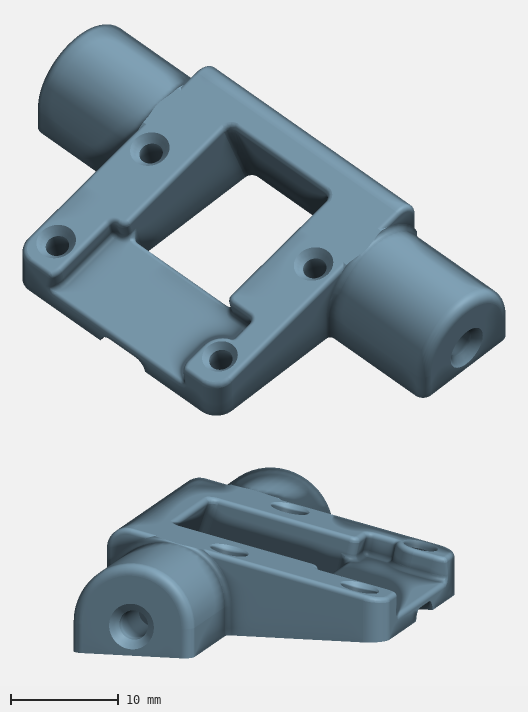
import cadquery as cq
import math

LENGTH = 50.0
DEPTH = 26.75
HEIGHT = 9.55

BODY_WIDTH = 26.1
SLOPE = math.radians(12.8)
BACK_RADIUS = 2.0
FRONT_CORNER_RADIUS = 2.0
EDGE_RADIUS = 0.5

BARREL_RADIUS = 5.8
BARREL_AXIS_Z = 2.75
BARREL_END_RADIUS = 1.0
FOOT_RADIUS = 0.5
BORE_DIAMETER = 2.75
BORE_MOUTH_DIAMETER = 4.3
BORE_DEPTH = 7.5

WINDOW_WIDTH = 13.0
WINDOW_BACK = -4.9
WINDOW_FRONT = -18.8
WINDOW_BACK_UNDERCUT = math.radians(6)
WINDOW_CORNER_RADIUS = 0.8
POCKET_BACK = -19.35
POCKET_LEFT = -8.0
POCKET_RIGHT = 10.05
POCKET_DEPTH = 2.2
POCKET_CORNER_RADIUS = 0.55
POCKET_FLOOR_RADIUS = 0.5
MOUTH_FLARE_RADIUS = 2.0
MOUTH_FLARE_START = -26.3
MOUTH_FLARE_LENGTH = 1.8

SCREW_U = 10.5
SCREW_BACK = -11.45
SCREW_FRONT = -24.3
SCREW_DIAMETER = 2.2
SCREW_HEAD_DIAMETER = 3.7
BOSS_HEAD_DIAMETER = 3.35
BOSS_RADIUS = 2.25
BOSS_CORNER_RADIUS = 0.25

CHANNEL_X = 0.95
CHANNEL_WIDTH = 5.8
CHANNEL_HEIGHT = 1.05
CHANNEL_CORNER_RADIUS = 1.3
CHANNEL_TILT = 1.8

MARGIN = 2.5
TOLERANCE = 0.005

back_arc_z = HEIGHT - BACK_RADIUS
tangent_y = -BACK_RADIUS * (1 + math.sin(SLOPE))
tangent_z = back_arc_z + BACK_RADIUS * math.cos(SLOPE)
slope_z_at_back = tangent_z - tangent_y * math.tan(SLOPE)
slope_z_at_front = slope_z_at_back - DEPTH * math.tan(SLOPE)
slope_plane = cq.Plane(
    origin=(0, 0, slope_z_at_back),
    xDir=(1, 0, 0),
    normal=(0, -math.sin(SLOPE), math.cos(SLOPE)),
)

half_body = BODY_WIDTH / 2
half_window = WINDOW_WIDTH / 2
boss_left = SCREW_U - BOSS_RADIUS
boss_top = SCREW_FRONT + math.sqrt(BOSS_RADIUS**2 - (SCREW_U - POCKET_RIGHT) ** 2)


def wedge(x_start, x_end):
    """Side profile of the body, extruded from x_start to x_end."""
    middle_angle = (math.pi / 2 + SLOPE) / 2
    arc_middle = (
        BACK_RADIUS * (math.cos(middle_angle) - 1),
        back_arc_z + BACK_RADIUS * math.sin(middle_angle),
    )
    return (
        cq.Workplane("YZ", origin=(x_start, 0, 0))
        .lineTo(0, back_arc_z)
        .threePointArc(arc_middle, (tangent_y, tangent_z))
        .lineTo(-DEPTH, slope_z_at_front)
        .lineTo(-DEPTH, 0)
        .close()
        .extrude(x_end - x_start)
    )


def fillet_where(solid, radius, wanted):
    """Round the edges whose centre, in body and in sloped-face coordinates, passes the test."""
    chosen = []
    for edge in solid.edges().vals():
        centre = edge.Center()
        if wanted(centre, slope_plane.toLocalCoords(centre)):
            chosen.append(edge)
    return solid.newObject(chosen).fillet(radius)


def fillet_pocket_corners(tool, radius, corners):
    """Round the pocket's wall corners that stand at the given (u, v) points."""

    def at_corner(centre, local):
        return any(math.dist((local.x, local.y), corner) < TOLERANCE for corner in corners)

    return fillet_where(tool, radius, at_corner)


def window():
    """Rounded opening through the body, square to the sloped face but for an undercut back wall."""

    def section(height):
        back = WINDOW_BACK - height * math.tan(WINDOW_BACK_UNDERCUT)
        return (
            cq.Sketch()
            .rect(WINDOW_WIDTH, back - WINDOW_FRONT)
            .vertices()
            .fillet(WINDOW_CORNER_RADIUS)
            .moved(cq.Location(cq.Vector(0, (back + WINDOW_FRONT) / 2, height)))
        )

    return cq.Workplane(slope_plane).placeSketch(section(MARGIN), section(-2 * HEIGHT)).loft()


def flare_point(along):
    """Sideways offset and v of the pocket mouth's flare, at a distance along the wall."""
    sideways = MOUTH_FLARE_RADIUS - math.sqrt(MOUTH_FLARE_RADIUS**2 - along**2)
    return sideways, MOUTH_FLARE_START - along


def pocket():
    """Recess open to the front face and to the window, stepped around the front right boss."""
    front = -DEPTH / math.cos(SLOPE) - MARGIN
    back = WINDOW_FRONT + MARGIN
    boss_middle_angle = math.radians(140)
    boss_middle = (
        SCREW_U + BOSS_RADIUS * math.cos(boss_middle_angle),
        SCREW_FRONT + BOSS_RADIUS * math.sin(boss_middle_angle),
    )
    flare_middle = flare_point(MOUTH_FLARE_LENGTH / 2)
    flare_end = flare_point(MOUTH_FLARE_LENGTH)
    tool = (
        cq.Workplane(slope_plane)
        .moveTo(POCKET_LEFT - flare_end[0], front)
        .lineTo(POCKET_LEFT - flare_end[0], flare_end[1])
        .threePointArc(
            (POCKET_LEFT - flare_middle[0], flare_middle[1]), (POCKET_LEFT, MOUTH_FLARE_START)
        )
        .lineTo(POCKET_LEFT, POCKET_BACK)
        .lineTo(-half_window, POCKET_BACK)
        .lineTo(-half_window, back)
        .lineTo(half_window, back)
        .lineTo(half_window, POCKET_BACK)
        .lineTo(POCKET_RIGHT, POCKET_BACK)
        .lineTo(POCKET_RIGHT, boss_top)
        .threePointArc(boss_middle, (boss_left, SCREW_FRONT))
        .lineTo(boss_left, MOUTH_FLARE_START)
        .threePointArc(
            (boss_left + flare_middle[0], flare_middle[1]),
            (boss_left + flare_end[0], flare_end[1]),
        )
        .lineTo(boss_left + flare_end[0], front)
        .close()
        .extrude(-POCKET_DEPTH)
    )
    window_corners = [(-half_window, POCKET_BACK), (half_window, POCKET_BACK)]
    back_corners = [(POCKET_LEFT, POCKET_BACK), (POCKET_RIGHT, POCKET_BACK)]
    tool = fillet_pocket_corners(tool, WINDOW_CORNER_RADIUS, window_corners)
    tool = fillet_pocket_corners(tool, POCKET_CORNER_RADIUS, back_corners)
    tool = fillet_pocket_corners(tool, BOSS_CORNER_RADIUS, [(POCKET_RIGHT, boss_top)])
    floor = cq.selectors.DirectionMinMaxSelector(slope_plane.zDir, False)
    return tool.faces(floor).edges().fillet(POCKET_FLOOR_RADIUS)


def is_upper_edge(centre, local):
    """Edges around the sloped face, down the back and along the pocket floor's two open ends."""
    on_slope = abs(local.z) < TOLERANCE and local.y < tangent_y - EDGE_RADIUS
    above_base = centre.z > EDGE_RADIUS
    on_side = abs(abs(centre.x) - half_body) < TOLERANCE
    along_back = on_side and centre.y > tangent_y and above_base
    on_front = abs(centre.y + DEPTH) < TOLERANCE
    at_mouth = on_front and abs(centre.x) < POCKET_RIGHT and above_base
    at_window = (
        abs(local.z + POCKET_DEPTH) < TOLERANCE
        and abs(centre.x) < half_window
        and abs(local.y - WINDOW_FRONT) < WINDOW_CORNER_RADIUS
    )
    return on_slope or along_back or at_mouth or at_window


def body():
    block = wedge(-half_body, half_body).edges("|Z and <Y").fillet(FRONT_CORNER_RADIUS)
    block = block.cut(window()).cut(pocket())
    return fillet_where(block, EDGE_RADIUS, is_upper_edge)


def barrel_profile(x, radius):
    """Arch of the given radius standing on z = 0."""
    return (
        cq.Workplane("YZ", origin=(x, -BARREL_RADIUS, 0))
        .moveTo(-radius, 0)
        .lineTo(-radius, BARREL_AXIS_Z)
        .threePointArc((0, BARREL_AXIS_Z + radius), (radius, BARREL_AXIS_Z))
        .lineTo(radius, 0)
        .close()
    )


def bore():
    """Blind hole with a conical mouth in the end of the +X barrel."""
    mouth_radius = BORE_MOUTH_DIAMETER / 2
    bore_radius = BORE_DIAMETER / 2
    return (
        cq.Workplane("XY")
        .moveTo(LENGTH / 2, 0)
        .lineTo(LENGTH / 2, mouth_radius)
        .lineTo(LENGTH / 2 - (mouth_radius - bore_radius), bore_radius)
        .lineTo(LENGTH / 2 - BORE_DEPTH, bore_radius)
        .lineTo(LENGTH / 2 - BORE_DEPTH, 0)
        .close()
        .revolve(360, (0, 0, 0), (1, 0, 0))
        .translate((0, -BARREL_RADIUS, BARREL_AXIS_Z))
    )


def barrel():
    """Barrel on the +X side with its rounded end and a foot that flares out to the body."""
    root = half_body - EDGE_RADIUS
    flare_radius = BARREL_RADIUS + FOOT_RADIUS
    plate = barrel_profile(root, flare_radius + MARGIN).extrude(half_body - root)
    shaft = plate.union(barrel_profile(root, BARREL_RADIUS).extrude(LENGTH / 2 - root))
    shaft = shaft.faces(">X").edges("not <Z").fillet(BARREL_END_RADIUS)

    around_shaft = cq.selectors.BoxSelector(
        (half_body - TOLERANCE, -2 * BARREL_RADIUS - TOLERANCE, -TOLERANCE),
        (half_body + TOLERANCE, TOLERANCE, HEIGHT),
        boundingbox=True,
    )
    shaft = shaft.edges(around_shaft).fillet(FOOT_RADIUS)

    flare_limit = barrel_profile(root, flare_radius).extrude(LENGTH)
    return shaft.intersect(flare_limit).intersect(wedge(root, LENGTH)).cut(bore())


def screw_holes():
    """Four countersunk holes square to the sloped face."""
    holes = cq.Workplane(slope_plane)
    for u in (-SCREW_U, SCREW_U):
        for v in (SCREW_BACK, SCREW_FRONT):
            on_boss = u > 0 and v == SCREW_FRONT
            head_diameter = BOSS_HEAD_DIAMETER if on_boss else SCREW_HEAD_DIAMETER
            head_depth = (head_diameter - SCREW_DIAMETER) / 2
            centre = cq.Workplane(slope_plane).center(u, v)
            holes = holes.add(centre.circle(SCREW_DIAMETER / 2).extrude(-2 * HEIGHT))
            holes = holes.add(centre.circle(head_diameter / 2).extrude(-head_depth, taper=45))
    return holes.combine()


def channel():
    """Round-cornered slot running from the front face to the window."""
    window_bottom = WINDOW_FRONT * math.cos(SLOPE) + slope_z_at_back * math.sin(SLOPE)
    length = DEPTH + window_bottom + MARGIN
    return (
        cq.Workplane("XY")
        .box(CHANNEL_WIDTH, length + MARGIN, CHANNEL_WIDTH)
        .edges("|Y")
        .fillet(CHANNEL_CORNER_RADIUS)
        .translate((0, (length - MARGIN) / 2, -CHANNEL_WIDTH / 2))
        .rotate((0, 0, 0), (1, 0, 0), -CHANNEL_TILT)
        .translate((CHANNEL_X, -DEPTH, CHANNEL_HEIGHT))
    )


solid = body().union(barrel()).union(barrel().mirror("YZ"))
result = solid.cut(screw_holes()).cut(channel())